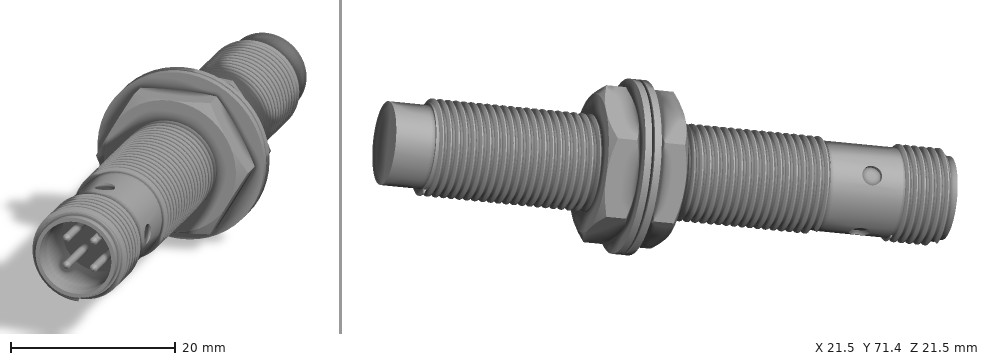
import cadquery as cq
import math


length = 71.4
tip_length = 5.0
tip_diameter = 10.3
collar_diameter = 11.1

pitch = 1.0
thread_diameter = 12.0
root_diameter = 10.9
ridge_crest_width = 0.15
ridge_flank_angle = 30.0
ridge_embed = 0.1
main_thread_turns = 50
connector_thread_turns = 6
main_thread_end = length - tip_length
main_thread_start = main_thread_end - main_thread_turns * pitch
connector_thread_start = 1.15
connector_root_start = 1.0
collar_start = 7.0
collar_end = 16.3

socket_diameter = 9.3
socket_depth = 8.6
pin_spacing = 3.5
pin_diameter = 1.0
pin_tip_chamfer = 0.35
pin_setback = 1.4

window_diameter = 2.5
window_depth = 0.6
window_count = 4
window_position = 11.0

nut_across_flats = 17.0
nut_thickness = 4.0
nut_chamfer_angle = 30.0
washer_diameter = 21.5
washer_thickness = 0.85
washer_gap = 0.35
stack_center = 40.35

thread_clearance = 0.035


def cylinder(diameter, start, end):
    """A solid cylinder on the sensor axis from Y = start to Y = end."""
    workplane = cq.Workplane("XZ", origin=(0, start, 0))
    return workplane.circle(diameter / 2).extrude(start - end)


def thread_ridge(start, turns, clearance=0.0):
    """A helical ridge of trapezoidal section from the -Z side, grown outward by a clearance."""
    base_radius = root_diameter / 2 - ridge_embed
    crest_radius = thread_diameter / 2 + clearance
    crest_half = ridge_crest_width / 2 + clearance
    base_half = crest_half + (crest_radius - base_radius) * math.tan(math.radians(ridge_flank_angle))
    path = cq.Wire.makeHelix(pitch, turns * pitch, base_radius)
    return (
        cq.Workplane("XZ")
        .polyline([
            (base_radius, -base_half),
            (crest_radius, -crest_half),
            (crest_radius, crest_half),
            (base_radius, base_half),
        ])
        .close()
        .sweep(cq.Workplane(path), isFrenet=True)
        .rotate((0, 0, 0), (1, 0, 0), -90)
        .rotate((0, 0, 0), (0, 1, 0), 90)
        .translate((0, start, 0))
    )


def trimmed_thread(start, turns, trim_start, trim_end):
    """A thread ridge cut off flat where its threaded stretch ends."""
    return thread_ridge(start, turns).intersect(cylinder(thread_diameter + pitch, trim_start, trim_end))


def contact_pins():
    """Four contacts that stand on the socket floor and have chamfered tips."""
    return (
        cq.Workplane("XZ", origin=(0, socket_depth, 0))
        .rect(pin_spacing, pin_spacing, forConstruction=True)
        .vertices()
        .circle(pin_diameter / 2)
        .extrude(socket_depth - pin_setback)
        .faces("<Y")
        .chamfer(pin_tip_chamfer)
    )


def indicator_windows():
    """Cutters for shallow round windows whose floors follow the barrel."""
    floor_diameter = collar_diameter - 2 * window_depth
    cutters = cq.Workplane("XY")
    for index in range(window_count):
        cutter = (
            cq.Workplane("XY", origin=(0, window_position, 0))
            .circle(window_diameter / 2)
            .extrude(collar_diameter)
            .rotate((0, 0, 0), (0, 1, 0), index * 360 / window_count)
        )
        cutters = cutters.add(cutter)
    floor = cylinder(
        floor_diameter,
        window_position - window_diameter,
        window_position + window_diameter,
    )
    return cutters.combine().cut(floor)


def sensor_body():
    """The threaded barrel with its connector socket, contacts and indicator windows."""
    connector_thread = trimmed_thread(
        connector_thread_start, connector_thread_turns, connector_root_start, collar_start
    )
    main_thread = trimmed_thread(main_thread_start, main_thread_turns, collar_end, main_thread_end)
    return (
        cylinder(tip_diameter, 0, length)
        .union(cylinder(root_diameter, connector_root_start, main_thread_end))
        .union(cylinder(collar_diameter, collar_start, collar_end))
        .cut(cylinder(socket_diameter, 0, socket_depth))
        .cut(indicator_windows())
        .union(contact_pins())
        .union(connector_thread)
        .union(main_thread)
    )


def threaded_bore(start):
    """A cutter for the tapped hole of a nut, in step with the main thread of the sensor."""
    turns_before_nut = math.floor((start - main_thread_start) / pitch) - 1
    turns = math.ceil(nut_thickness / pitch) + 3
    cutter_start = main_thread_start + turns_before_nut * pitch
    core_diameter = root_diameter + 2 * thread_clearance
    core = cylinder(core_diameter, cutter_start, cutter_start + turns * pitch)
    return core.union(thread_ridge(cutter_start, turns, thread_clearance))


def lock_nut(start):
    """A threaded hexagon nut, corners on the X axis, chamfered on both faces."""
    corner_diameter = nut_across_flats / math.cos(math.pi / 6)
    flat_radius = nut_across_flats / 2
    corner_radius = corner_diameter / 2
    chamfer_height = (corner_radius - flat_radius) * math.tan(math.radians(nut_chamfer_angle))
    end = start + nut_thickness
    hexagon = (
        cq.Workplane("XZ", origin=(0, start, 0))
        .polygon(6, corner_diameter)
        .extrude(-nut_thickness)
    )
    chamfer_envelope = (
        cq.Workplane("XY")
        .polyline([
            (0, start),
            (flat_radius, start),
            (corner_radius, start + chamfer_height),
            (corner_radius, end - chamfer_height),
            (flat_radius, end),
            (0, end),
        ])
        .close()
        .revolve(360, (0, 0, 0), (0, 1, 0))
    )
    return hexagon.intersect(chamfer_envelope).cut(threaded_bore(start))


def washer(start):
    """A flat washer that fits over the thread."""
    end = start + washer_thickness
    bore_diameter = thread_diameter + 2 * thread_clearance
    return cylinder(washer_diameter, start, end).cut(cylinder(bore_diameter, start, end))


rear_washer_start = stack_center + washer_gap / 2
front_washer_start = stack_center - washer_gap / 2 - washer_thickness

sensor = sensor_body()
washers = [washer(start) for start in (front_washer_start, rear_washer_start)]
nuts = [
    lock_nut(start)
    for start in (front_washer_start - nut_thickness, rear_washer_start + washer_thickness)
]

result = cq.Compound.makeCompound(
    [sensor.val(), *[nut.val() for nut in nuts], *[ring.val() for ring in washers]]
)